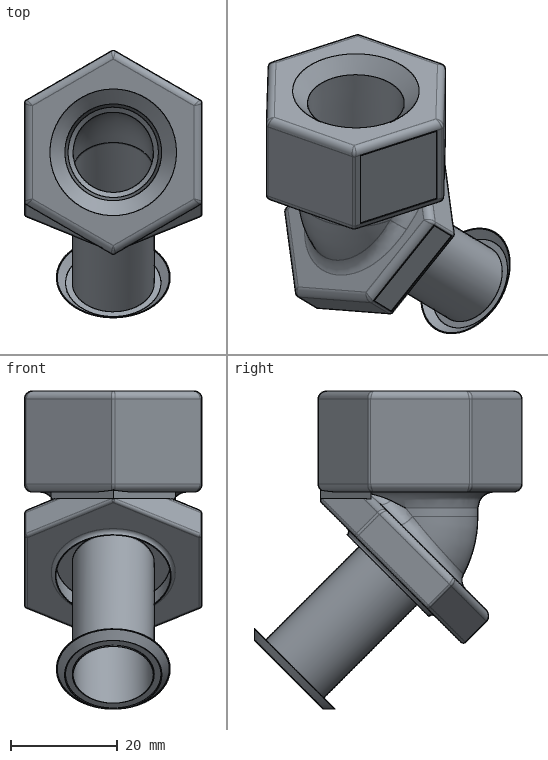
import cadquery as cq
import math

across_flats = 33.3
across_corners = across_flats / math.cos(math.radians(30))
head_height = 19.0
head_round = 1.5
corner_round = 0.6

bend_angle = 45
corner_z = -28.65
bend_radius = 12.25
bend_tangent = bend_radius * math.tan(math.radians(bend_angle / 2))
bend_start_z = corner_z + bend_tangent
elbow_radius = 10.85
bore_radius = 7.5
cove_radius = 3.0
root_round = 2.4

flange_back = 0.0
flange_front = 7.65
flange_back_round = 1.5
flange_front_round = 0.6
lip_height = 0.85
lip_base_radius = 11.65
pocket_radius = 10.75

web_bottom_z = -20.25
web_tip_y = -18.7
web_half_width = 11.65
web_side_slope = math.tan(math.radians(30)) / math.cos(math.radians(bend_angle))
web_back_y = web_tip_y + web_half_width * web_side_slope

wall = 0.2
tube_radius = bore_radius + wall
rim_front = 34.8
rim_radius = 10.7
rim_floor_radius = 9.15
rim_back = rim_front - (rim_radius - rim_floor_radius)

mouth_radius = 11.9
mouth_depth = 2.8
socket_top_radius = 9.1
socket_bottom_radius = 8.5
socket_depth = 16.7

panel_depth = 0.2
head_panel_width = 16.35
head_panel_height = 15.65
flange_panel_width = 18.25
flange_panel_height = 5.3

outlet = cq.Plane(origin=(0, 0, corner_z), xDir=(1, 0, 0), normal=(0, -1, -1))


def hexagon(plane, start, length):
    """Hexagonal prism with flats facing -X and +X."""
    return (
        cq.Workplane(plane)
        .workplane(offset=start)
        .transformed(rotate=(0, 0, 90))
        .polygon(6, across_corners)
        .extrude(length)
    )


def bent_rod(radius, top_z, outlet_end):
    """Round rod down the vertical leg, around the bend and along the inclined leg."""
    half = math.radians(bend_angle / 2)
    full = math.radians(bend_angle)
    middle = (
        bend_radius * (math.cos(half) - 1),
        bend_start_z - bend_radius * math.sin(half),
    )
    bend_end = (
        bend_radius * (math.cos(full) - 1),
        bend_start_z - bend_radius * math.sin(full),
    )
    tip = (-outlet_end * math.sin(full), corner_z - outlet_end * math.cos(full))
    path = (
        cq.Workplane("YZ")
        .moveTo(0, top_z)
        .lineTo(0, bend_start_z)
        .threePointArc(middle, bend_end)
        .lineTo(*tip)
    )
    return cq.Workplane("XY").workplane(offset=top_z).circle(radius).sweep(path)


def radial_plane(plane):
    """Plane for a (radius, height) profile around the normal of another plane."""
    return cq.Plane(origin=plane.origin, xDir=plane.xDir, normal=-plane.yDir)


def spin(profile):
    """Full turn of a (radius, height) profile about its height axis."""
    return profile.close().revolve(360, (0, 0), (0, 1))


def turned(plane, points):
    """Solid of revolution about the normal of a plane, from straight-sided points."""
    return spin(cq.Workplane(radial_plane(plane)).polyline(points))


def head():
    prism = hexagon(cq.Plane.XY(), -head_height, head_height)
    prism = prism.edges("|Z").fillet(corner_round)
    return prism.faces("<Z or >Z").edges().fillet(head_round)


def flange():
    back_face = cq.DirectionMinMaxSelector(outlet.zDir, False)
    front_face = cq.DirectionMinMaxSelector(outlet.zDir, True)
    prism = hexagon(outlet, flange_back, flange_front - flange_back)
    prism = prism.edges(cq.ParallelDirSelector(outlet.zDir)).fillet(corner_round)
    prism = prism.faces(back_face).edges().fillet(flange_back_round)
    return prism.faces(front_face).edges().fillet(flange_front_round)


def flange_on_elbow():
    joined = bent_rod(elbow_radius, -head_height / 2, flange_front).union(flange())
    root = joined.edges("%BSPLINE").edges(cq.NearestToPointSelector(outlet.origin))
    return root.fillet(root_round)


def cove():
    """Concave ring between the vertical leg and the underside of the head."""
    outer = elbow_radius + cove_radius
    overlap_top = -head_height + head_round
    bottom = -head_height - cove_radius
    arc_inset = cove_radius * (1 - math.cos(math.radians(45)))
    return spin(
        cq.Workplane(radial_plane(cq.Plane.XY()))
        .moveTo(0, overlap_top)
        .lineTo(outer, overlap_top)
        .lineTo(outer, -head_height)
        .threePointArc((elbow_radius + arc_inset, -head_height - arc_inset), (elbow_radius, bottom))
        .lineTo(0, bottom)
    )


def web():
    """Triangular fill that carries the flange's upper corner into the head."""
    outline = [(0, web_tip_y), (web_half_width, web_back_y), (-web_half_width, web_back_y)]
    height = -head_height + head_round - web_bottom_z
    return cq.Workplane("XY").workplane(offset=web_bottom_z).polyline(outline).close().extrude(height)


def lip():
    """Ring on the flange front with a concave outside that rises to a thin rim."""
    base = flange_front - flange_front_round
    tip = flange_front + lip_height
    arc_share = 1 - math.cos(math.radians(45))
    arc_middle = (
        elbow_radius + (lip_base_radius - elbow_radius) * arc_share,
        flange_front + lip_height * arc_share,
    )
    return spin(
        cq.Workplane(radial_plane(outlet))
        .moveTo(0, base)
        .lineTo(lip_base_radius, base)
        .lineTo(lip_base_radius, flange_front)
        .threePointArc(arc_middle, (elbow_radius, tip))
        .lineTo(0, tip)
    )


def pocket():
    depth = flange_front + lip_height - bend_tangent
    return cq.Workplane(outlet).workplane(offset=bend_tangent).circle(pocket_radius).extrude(depth)


def spout():
    """Tube from the pocket floor out to the rim, a thin dish open towards the flange."""
    tube = cq.Workplane(outlet).circle(tube_radius).extrude(rim_front)
    dish = turned(
        outlet,
        [
            (0, rim_front),
            (rim_floor_radius, rim_front),
            (rim_radius, rim_back),
            (rim_radius - wall, rim_back),
            (rim_floor_radius - wall, rim_front - wall),
            (0, rim_front - wall),
        ],
    )
    return tube.union(dish)


def socket():
    """Chamfered mouth and tapered socket, stepping down to the bore through a cone."""
    cone_end = socket_depth + socket_bottom_radius - bore_radius
    return turned(
        cq.Plane.XY(),
        [
            (0, 0),
            (mouth_radius, 0),
            (socket_top_radius, -mouth_depth),
            (socket_bottom_radius, -socket_depth),
            (bore_radius, -cone_end),
            (0, -cone_end),
        ],
    )


def side_panel(plane, height_position, width, height):
    """Shallow cutter for a label panel on the -X flat of a hexagon along the plane normal."""
    center = plane.toWorldCoords((-across_flats / 2, 0, height_position))
    face = cq.Plane(origin=center, xDir=plane.yDir, normal=(-1, 0, 0))
    return cq.Workplane(face).rect(width, height).extrude(-panel_depth)


body = flange_on_elbow().union(head()).union(cove()).union(web()).union(lip())
body = body.cut(pocket()).union(spout())
body = body.cut(socket()).cut(bent_rod(bore_radius, -socket_depth, rim_front))
body = body.cut(side_panel(cq.Plane.XY(), -head_height / 2, head_panel_width, head_panel_height))
flange_flat_middle = (flange_back + flange_back_round + flange_front - flange_front_round) / 2
result = body.cut(side_panel(outlet, flange_flat_middle, flange_panel_width, flange_panel_height))